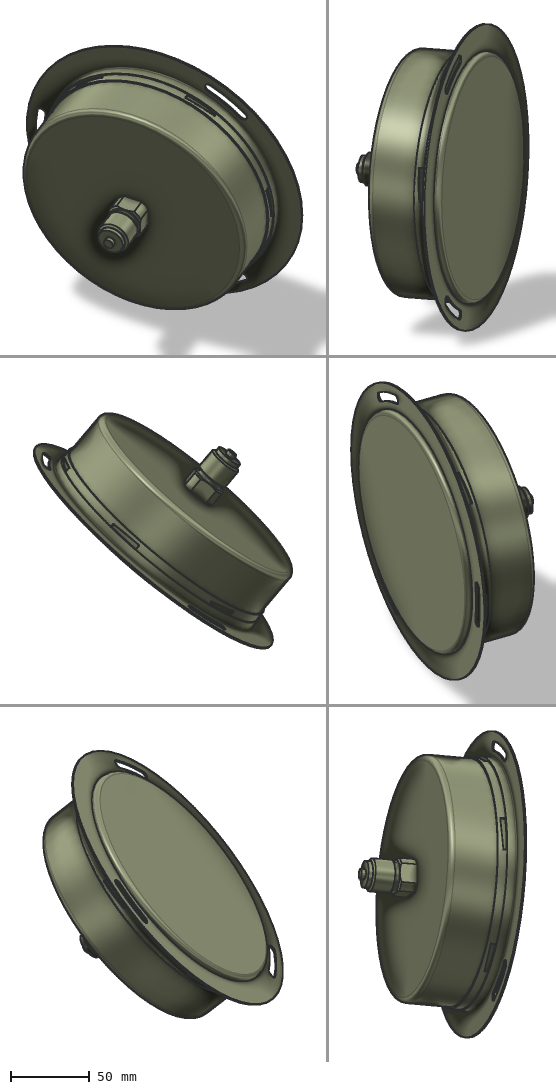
import cadquery as cq
import math


clearance = 0.2

case_diameter = 159.0
case_depth = 49.5
case_edge_radius = 3.5

bezel_diameter = 161.3
bezel_depth = 17.6
bezel_edge_radius = 3.0

flange_diameter = 196.0
flange_front = 4.1
flange_thickness = 1.2
collar_diameter = 163.0
collar_end = 11.5
collar_bend_radius = 0.8

slot_count = 3
slot_width = 6.0
slot_circle_radius = 88.8
slot_half_angle = 9.0

ramp_count = 6
ramp_first_angle = 30.0
ramp_span_angle = 15.5
ramp_short_length = 2.2
ramp_long_length = 3.3
ramp_wall_angle = 15.0

wrench_size = 22.0
wrench_corner_diameter = 25.3
wrench_end = 61.2
wrench_chamfer_angle = 30.0
neck_diameter = 18.0
neck_end = 63.1
neck_fillet_radius = 0.4
thread_diameter = 21.4
thread_chamfer_length = 1.2
thread_end = 78.4
spigot_diameter = 17.5
spigot_end = 81.3
pin_diameter = 6.5
total_depth = 84.3


def disc(diameter, start, end):
    """Cylinder on the gauge axis between two depths."""
    plane = cq.Workplane("XZ", origin=(0, -start, 0))
    return plane.circle(diameter / 2).extrude(end - start)


def make_case():
    return disc(case_diameter, bezel_edge_radius, case_depth).faces("<Y").edges().fillet(case_edge_radius)


def make_bezel():
    """Bezel ring with a rounded window edge and ramped bayonet openings."""
    bezel = disc(bezel_diameter, 0, bezel_depth).faces(">Y").edges().fillet(bezel_edge_radius)
    half_width = case_diameter / 2 * math.sin(math.radians(ramp_span_angle / 2))
    base_height = case_diameter / 2 * math.cos(math.radians(ramp_span_angle / 2))
    ramp = (
        cq.Workplane("XY", origin=(0, 0, base_height))
        .moveTo(-half_width, -collar_end)
        .lineTo(half_width, -collar_end)
        .lineTo(half_width, -collar_end - ramp_short_length)
        .lineTo(-half_width, -collar_end - ramp_long_length)
        .close()
        .extrude(bezel_diameter / 2 - base_height + clearance, taper=-ramp_wall_angle)
        .cut(disc(case_diameter, 0, case_depth))
    )
    middle_angle = ramp_first_angle - ramp_span_angle / 2
    for index in range(ramp_count):
        angle = middle_angle + index * 360 / ramp_count
        bezel = bezel.cut(ramp.rotate((0, 0, 0), (0, 1, 0), angle))
    return bezel


def slot_point(radius, angle):
    return radius * math.cos(math.radians(angle)), radius * math.sin(math.radians(angle))


def make_slot(middle_angle, start, length):
    """Arc-shaped slot with round ends, centred on the given angle from +X."""
    first = middle_angle - slot_half_angle
    last = middle_angle + slot_half_angle
    cap_angle = math.degrees(slot_width / 2 / slot_circle_radius)
    inner = slot_circle_radius - slot_width / 2
    outer = slot_circle_radius + slot_width / 2
    return (
        cq.Workplane("XZ", origin=(0, -start, 0))
        .moveTo(*slot_point(outer, first))
        .threePointArc(slot_point(outer, middle_angle), slot_point(outer, last))
        .threePointArc(slot_point(slot_circle_radius, last + cap_angle), slot_point(inner, last))
        .threePointArc(slot_point(inner, middle_angle), slot_point(inner, first))
        .threePointArc(slot_point(slot_circle_radius, first - cap_angle), slot_point(outer, first))
        .close()
        .extrude(length)
    )


def make_flange():
    """Flange disc bent into a collar, with slots spaced evenly from the -X side."""
    flange_back = flange_front + flange_thickness
    flange = disc(flange_diameter, flange_front, flange_back)
    flange = flange.union(disc(collar_diameter, flange_front, collar_end))
    bend_corner = cq.selectors.BoxSelector(
        (-collar_diameter, -flange_back - clearance, -collar_diameter),
        (collar_diameter, -flange_back + clearance, collar_diameter),
    )
    collar_edge = cq.selectors.RadiusNthSelector(0)
    flange = flange.edges(bend_corner).edges(collar_edge).fillet(collar_bend_radius)
    for index in range(slot_count):
        angle = 180 + index * 360 / slot_count
        flange = flange.cut(make_slot(angle, flange_front, flange_thickness))
    return flange


def make_wrench_square():
    """Square with rounded corners, bevelled by a cone at the end facing the neck."""
    length = wrench_end - case_depth
    square = (
        cq.Workplane("XZ", origin=(0, -case_depth, 0))
        .rect(wrench_size, wrench_size)
        .extrude(length)
    )
    corner_radius = wrench_corner_diameter / 2
    cone_rise = (corner_radius - wrench_size / 2) * math.tan(math.radians(wrench_chamfer_angle))
    turned = (
        cq.Workplane("XY")
        .moveTo(0, -case_depth)
        .lineTo(corner_radius, -case_depth)
        .lineTo(corner_radius, -wrench_end + cone_rise)
        .lineTo(wrench_size / 2, -wrench_end)
        .lineTo(0, -wrench_end)
        .close()
        .revolve(360, (0, 0, 0), (0, 1, 0))
    )
    return square.intersect(turned)


def make_connector():
    neck = disc(neck_diameter, case_depth, thread_end)
    root_radius = neck_diameter / 2
    crest_radius = thread_diameter / 2
    thread = (
        cq.Workplane("XY")
        .moveTo(0, -neck_end)
        .lineTo(root_radius, -neck_end)
        .lineTo(crest_radius, -neck_end - thread_chamfer_length)
        .lineTo(crest_radius, -thread_end + thread_chamfer_length)
        .lineTo(root_radius, -thread_end)
        .lineTo(0, -thread_end)
        .close()
        .revolve(360, (0, 0, 0), (0, 1, 0))
    )
    spigot = disc(spigot_diameter, case_depth, spigot_end)
    pin = disc(pin_diameter, case_depth, total_depth)
    connector = make_wrench_square().union(neck).union(thread).union(spigot).union(pin)
    neck_ends = cq.selectors.BoxSelector(
        (-clearance, -neck_end - clearance, -clearance),
        (clearance, -wrench_end + clearance, clearance),
    )
    return connector.edges(neck_ends).fillet(neck_fillet_radius)


result = make_case().union(make_bezel()).union(make_flange()).union(make_connector())